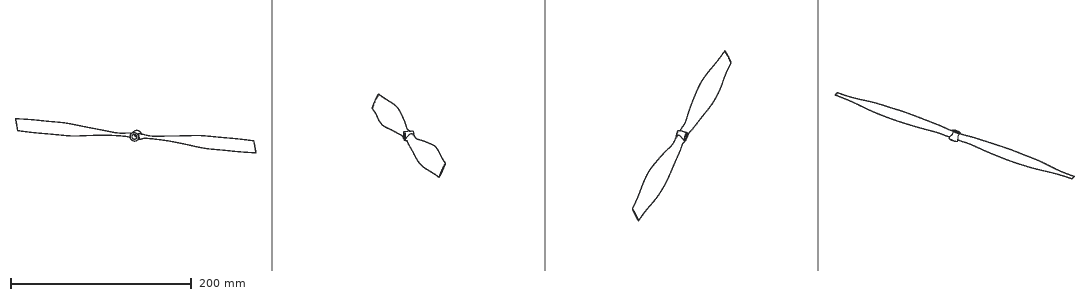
import cadquery as cq
import math

span = 279.2
hub_diameter = 10.0
hub_length = 9.8
bore_diameter = 5.5

blade_sections = [
    (3.4, 8.5, 7.3, 0.5, 0.0, 5.0),
    (6.7, 9.0, 7.0, 0.5, -0.3, 4.5),
    (13.5, 9.2, 5.3, 0.8, -0.3, 3.4),
    (23.5, 10.5, 6.1, 1.0, -0.5, 2.5),
    (39.0, 13.5, 9.8, 0.5, 0.0, 2.2),
    (58.5, 16.2, 14.8, 0.3, 0.0, 2.2),
    (74.0, 17.0, 18.7, 0.0, 0.0, 2.0),
    (89.4, 16.2, 19.5, 0.0, 0.0, 2.0),
    (109.0, 12.3, 18.5, 0.0, 0.0, 1.7),
    (span / 2, 7.5, 16.0, 0.0, 0.0, 1.5),
]

outline_points = 16


def section_wire(radius, height_y, height_z, centre_y, centre_z, thickness):
    """Tilted elliptical section that just fits a box of height_y by height_z."""
    half_y = height_y / 2
    half_z = height_z / 2
    half_thickness = thickness / 2
    half_chord = math.sqrt(half_y**2 + half_z**2 - half_thickness**2)
    sine_squared = (half_z**2 - half_thickness**2) / (half_chord**2 - half_thickness**2)
    pitch = math.asin(math.sqrt(sine_squared))
    points = []
    for index in range(outline_points):
        angle = 2 * math.pi * index / outline_points
        along_chord = half_chord * math.cos(angle)
        across_chord = half_thickness * math.sin(angle)
        y = centre_y + along_chord * math.cos(pitch) + across_chord * math.sin(pitch)
        z = centre_z - along_chord * math.sin(pitch) + across_chord * math.cos(pitch)
        points.append(cq.Vector(radius, y, z))
    parameters = [index / outline_points for index in range(outline_points + 1)]
    outline = cq.Edge.makeSpline(points, periodic=True, parameters=parameters)
    return cq.Wire.assembleEdges([outline])


def make_blade():
    """Twisted blade along +X, lofted smoothly through its sections."""
    wires = [section_wire(*section) for section in blade_sections]
    return cq.Workplane(cq.occ_impl.shapes.loft(wires, cap=True, compat=False))


def cylinder_along_y(diameter):
    """Cylinder of the hub's length, centred on the origin."""
    sketch_plane = cq.Workplane("XZ", origin=(0, hub_length / 2, 0))
    return sketch_plane.circle(diameter / 2).extrude(hub_length)


blade = make_blade()
opposite_blade = blade.mirror("YZ")

hub = cylinder_along_y(hub_diameter)
bore = cylinder_along_y(bore_diameter)

result = hub.union(blade).union(opposite_blade).cut(bore)